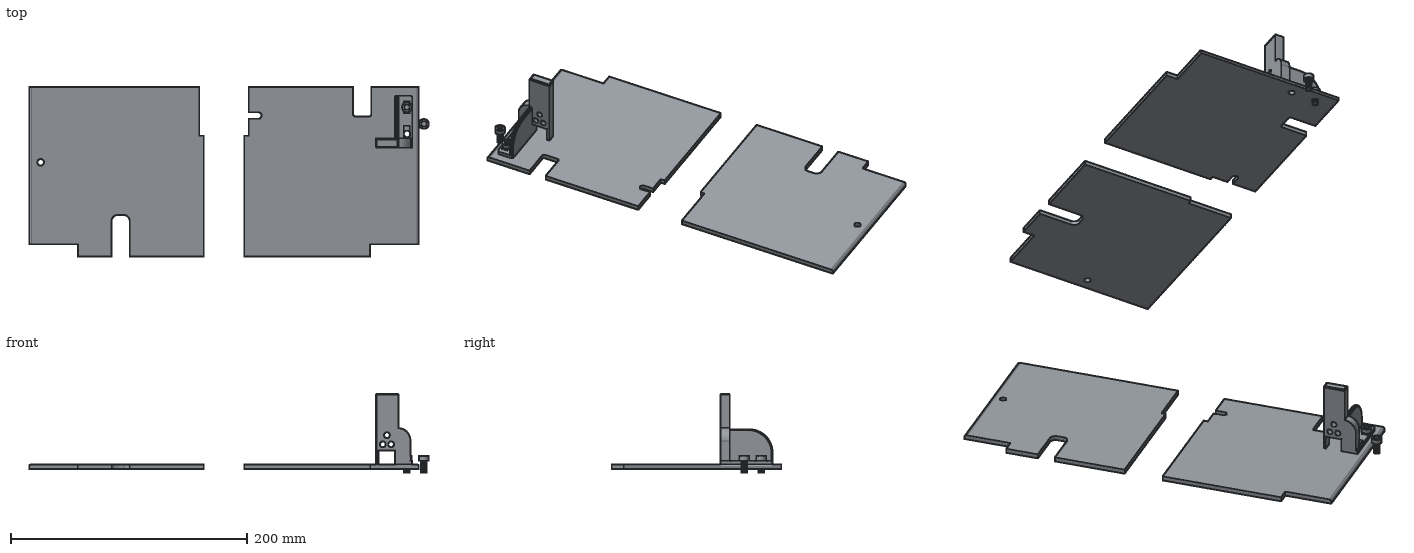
import cadquery as cq
PLATE_WIDTH = 148.0
PLATE_DEPTH = 144.0
PLATE_THICKNESS = 4.0
SIDE_STEP_WIDTH = 3.7
SIDE_STEP_DEPTH = 41.3
FRONT_STEP_WIDTH = 41.3
FRONT_STEP_DEPTH = 10.5
EDGE_ROUND = 2.0
SLOT_CORNER_RADIUS = 5.0
OPENING_WIDTH = 15.2
HOLE_DIAMETER = 5.5

LEFT_SLOT_CENTER_X = 77.5
LEFT_SLOT_DEPTH = 35.2
LEFT_HOLE_X = 9.8
LEFT_HOLE_Y = 80.0

RIGHT_PLATE_X = 182.0
SIDE_SLOT_Y = 119.5
SIDE_SLOT_LENGTH = 11.0
NOTCH_CENTER_X = 282.0
NOTCH_DEPTH = 25.0
NOTCH_CORNER_RADIUS = 1.7

SHANK_DIAMETER = 5.0
SCREW_PROTRUSION = 3.2
THREAD_ROOT_DIAMETER = 4.0
THREAD_TURNS = 12
HEAD_DIAMETER = 8.5
HEAD_HEIGHT = 4.0
SOCKET_DIAMETER = 4.7
SOCKET_DEPTH = 2.0
SCREW_X = 320.0
SCREW_Y = 126.5
TOTAL_LENGTH = 338.5
LOOSE_SCREW_X = TOTAL_LENGTH - HEAD_DIAMETER / 2
LOOSE_SCREW_Y = 112.5

BASE_THICKNESS = 3.0
BASE_RIGHT = 324.5
BASE_BACK = 136.5
BASE_CORNER_RADIUS = 1.7
BRACKET_FRONT = 92.0
COLUMN_LEFT = 293.5
COLUMN_RIGHT = 313.0
COLUMN_DEPTH = 8.0
COLUMN_HEIGHT = 60.0
BRACKET_CHAMFER = 1.0
ARM_RIGHT = 323.0
ARM_HEIGHT = 30.8
ARM_RADIUS = 11.0
RIB_THICKNESS = 3.0
RIB_HEIGHT = 29.8
RIB_RADIUS = 20.0
WINDOW_LEFT = 296.0
WINDOW_HEIGHT = 11.5
COLUMN_HOLE_DIAMETER = 4.7
COLUMN_HOLE_X = 303.0
COLUMN_HOLE_PITCH = 7.0
COLUMN_HOLE_LOW = 17.0
COLUMN_HOLE_HIGH = 24.7
SLOT_WIDTH = 5.0
SLOT_LENGTH = 10.0
SLOT_PITCH = 20.5
PLATE_HOLE_PITCH = 22.7

RIB_LEFT = COLUMN_RIGHT - RIB_THICKNESS
COLUMN_BACK = BRACKET_FRONT + COLUMN_DEPTH
BASE_Z = PLATE_THICKNESS
BASE_TOP = BASE_Z + BASE_THICKNESS
SHANK_LENGTH = BASE_TOP + SCREW_PROTRUSION
THREAD_PITCH = SHANK_LENGTH / THREAD_TURNS


def block(x0, x1, y0, y1, z0, z1):
    """Box between two opposite corners."""
    return cq.Workplane("XY").box(x1 - x0, y1 - y0, z1 - z0, centered=False).translate((x0, y0, z0))


def cylinder(x, y, z, diameter, height):
    """Upright cylinder standing on height z."""
    return cq.Workplane("XY", origin=(x, y, z)).circle(diameter / 2).extrude(height)


def plate_cutter(x0, x1, y0, y1):
    """Box through the plate thickness."""
    return block(x0, x1, y0, y1, 0, PLATE_THICKNESS)


def cut_corner_steps(plate, side_x, front_x):
    """Remove the rear step starting at side_x and the front step starting at front_x."""
    rear_step = plate_cutter(side_x, side_x + SIDE_STEP_WIDTH, PLATE_DEPTH - SIDE_STEP_DEPTH, PLATE_DEPTH)
    front_step = plate_cutter(front_x, front_x + FRONT_STEP_WIDTH, 0, FRONT_STEP_DEPTH)
    return plate.cut(rear_step).cut(front_step)


def make_left_plate():
    """Plate with a rounded left edge, a front slot and a small hole."""
    plate = plate_cutter(0, PLATE_WIDTH, 0, PLATE_DEPTH)
    plate = cut_corner_steps(plate, PLATE_WIDTH - SIDE_STEP_WIDTH, 0)
    plate = plate.faces("<X").edges(">Z").fillet(EDGE_ROUND)
    slot_left = LEFT_SLOT_CENTER_X - OPENING_WIDTH / 2
    slot = plate_cutter(slot_left, slot_left + OPENING_WIDTH, 0, LEFT_SLOT_DEPTH)
    slot = slot.edges("|Z and >Y").fillet(SLOT_CORNER_RADIUS)
    hole = cylinder(LEFT_HOLE_X, LEFT_HOLE_Y, 0, HOLE_DIAMETER, PLATE_THICKNESS)
    return plate.cut(slot).cut(hole)


def rear_notch():
    """Cutter for the notch in the rear edge of the right plate."""
    left = NOTCH_CENTER_X - OPENING_WIDTH / 2
    notch = plate_cutter(left, left + OPENING_WIDTH, PLATE_DEPTH - NOTCH_DEPTH, PLATE_DEPTH)
    return notch.edges("|Z and <Y").fillet(NOTCH_CORNER_RADIUS)


def side_slot(edge_x):
    """Cutter for the round-ended slot entering the right plate at edge_x."""
    radius = HOLE_DIAMETER / 2
    end_x = edge_x + SIDE_SLOT_LENGTH - radius
    channel = plate_cutter(edge_x, end_x, SIDE_SLOT_Y - radius, SIDE_SLOT_Y + radius)
    return channel.union(cylinder(end_x, SIDE_SLOT_Y, 0, HOLE_DIAMETER, PLATE_THICKNESS))


def make_right_plate():
    """Plate with a rounded right edge that carries the bracket."""
    right = RIGHT_PLATE_X + PLATE_WIDTH
    plate = plate_cutter(RIGHT_PLATE_X, right, 0, PLATE_DEPTH)
    plate = cut_corner_steps(plate, RIGHT_PLATE_X, right - FRONT_STEP_WIDTH)
    plate = plate.faces(">X").edges(">Z").fillet(EDGE_ROUND)
    plate = plate.cut(rear_notch()).cut(side_slot(RIGHT_PLATE_X + SIDE_STEP_WIDTH))
    for y in (SCREW_Y, SCREW_Y - PLATE_HOLE_PITCH):
        plate = plate.cut(cylinder(SCREW_X, y, 0, HOLE_DIAMETER, PLATE_THICKNESS))
    return plate


def bracket_base():
    """Foot of the bracket with two slots for the screws."""
    base = block(RIB_LEFT, BASE_RIGHT, BRACKET_FRONT, BASE_BACK, BASE_Z, BASE_TOP)
    base = base.edges("|Z and >Y").fillet(BASE_CORNER_RADIUS)
    slots = cq.Workplane("XY", origin=(SCREW_X, SCREW_Y, BASE_Z)).pushPoints([(0, 0), (0, -SLOT_PITCH)])
    return base.cut(slots.rect(SLOT_WIDTH, SLOT_LENGTH).extrude(BASE_THICKNESS))


def bracket_rib():
    """Bracing plate behind the column with a large rounded corner and chamfered outline."""
    rib = block(RIB_LEFT, COLUMN_RIGHT, COLUMN_BACK, BASE_BACK, BASE_Z, BASE_Z + RIB_HEIGHT)
    rib = rib.edges("|X and >Y and >Z").fillet(RIB_RADIUS)
    return rib.faces("<X or >X").edges("not(<Y or <Z)").chamfer(BRACKET_CHAMFER)


def bracket_column():
    """Upright column with chamfered top edges and a chamfered front left edge."""
    top = BASE_Z + COLUMN_HEIGHT
    column = block(COLUMN_LEFT, COLUMN_RIGHT, BRACKET_FRONT, COLUMN_BACK, BASE_Z, top)
    column = column.faces(">Z").edges().chamfer(BRACKET_CHAMFER)
    return column.edges("|Z and <X and <Y").chamfer(BRACKET_CHAMFER)


def bracket_arm():
    """Low, round-cornered shoulder to the right of the column."""
    arm = block(RIB_LEFT, ARM_RIGHT, BRACKET_FRONT, COLUMN_BACK, BASE_Z, BASE_Z + ARM_HEIGHT)
    return arm.edges("|Y and >X and >Z").fillet(ARM_RADIUS)


def column_openings():
    """Cutter for the window at the column foot and the three holes above it."""
    window = block(WINDOW_LEFT, RIB_LEFT, BRACKET_FRONT, COLUMN_BACK, BASE_Z, BASE_Z + WINDOW_HEIGHT)
    centers = [
        (COLUMN_HOLE_X, COLUMN_HOLE_HIGH),
        (COLUMN_HOLE_X - COLUMN_HOLE_PITCH / 2, COLUMN_HOLE_LOW),
        (COLUMN_HOLE_X + COLUMN_HOLE_PITCH / 2, COLUMN_HOLE_LOW),
    ]
    drill = cq.Workplane("XZ", origin=(0, COLUMN_BACK, BASE_Z)).pushPoints(centers)
    return window.union(drill.circle(COLUMN_HOLE_DIAMETER / 2).extrude(COLUMN_DEPTH))


def make_bracket():
    """Column and arm, braced by the rib, on the slotted base."""
    bracket = bracket_column().union(bracket_arm()).union(bracket_rib()).union(bracket_base())
    return bracket.cut(column_openings())


def threaded_shank(x, y):
    """Shank hanging below the head, with the thread as a stack of V grooves."""
    major = SHANK_DIAMETER / 2
    root = THREAD_ROOT_DIAMETER / 2
    profile = cq.Workplane("XZ").moveTo(0, -SHANK_LENGTH).lineTo(major, -SHANK_LENGTH)
    for turn in range(THREAD_TURNS, 0, -1):
        profile = profile.lineTo(root, -(turn - 0.5) * THREAD_PITCH)
        profile = profile.lineTo(major, -(turn - 1) * THREAD_PITCH)
    shank = profile.lineTo(0, 0).close().revolve(360, (0, 0, 0), (0, 1, 0))
    return shank.translate((x, y, BASE_TOP))


def make_screw(x, y):
    """Cap screw with a round socket, its head seated at the height of the bracket base."""
    head = cylinder(x, y, BASE_TOP, HEAD_DIAMETER, HEAD_HEIGHT)
    shank = threaded_shank(x, y)
    socket = cylinder(x, y, BASE_TOP + HEAD_HEIGHT - SOCKET_DEPTH, SOCKET_DIAMETER, SOCKET_DEPTH)
    return head.union(shank).cut(socket)


left_plate = make_left_plate()
right_plate = make_right_plate()
bracket = make_bracket()
screws = [make_screw(x, y) for x, y in ((SCREW_X, SCREW_Y), (LOOSE_SCREW_X, LOOSE_SCREW_Y))]

result = cq.Compound.makeCompound(
    [left_plate.val(), right_plate.val(), bracket.val(), *[screw.val() for screw in screws]]
)